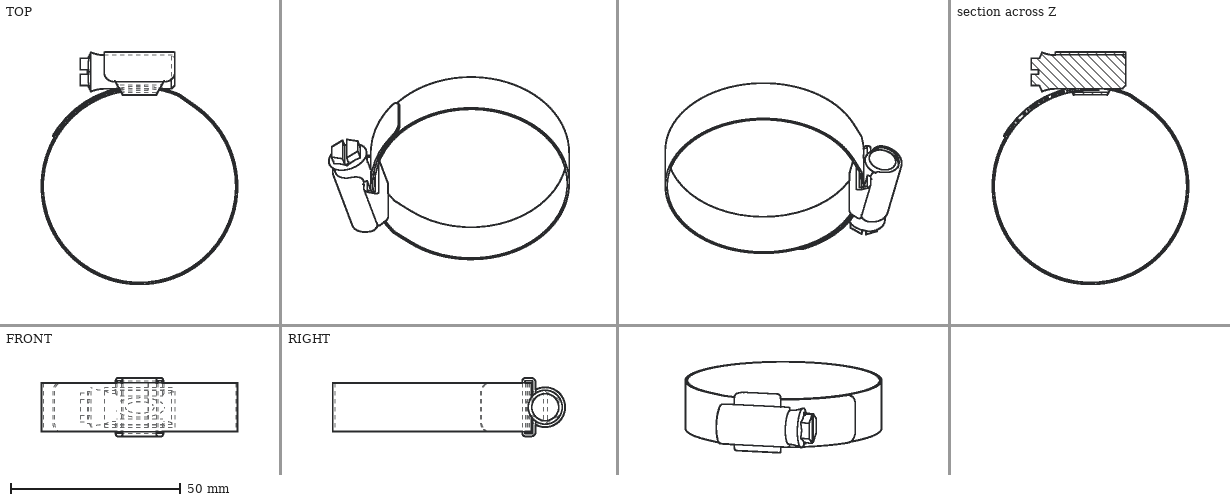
import cadquery as cq
import math


ring_diameter = 58.1
band_thickness = 0.6
band_width = 14.35
layer_gap = 0.035
head_end_angle = 85.0
step_angle = 55.0
tail_end_angle = 150.0
tail_corner_radius = 3.0

arch_radius = 5.9
sheet_thickness = 0.9
overall_depth = 68.7
arch_length = 20.95
arch_edge_radius = 0.4
loop_width = 17.3
loop_top = 30.9
loop_bottom = 26.95
loop_top_length = 14.3
loop_bottom_length = 9.9
loop_upper_radius = 1.3
loop_lower_radius = 1.0
loop_inner_radius = 0.15

collar_radius = 5.85
collar_rim_x = -14.35
collar_front_x = -15.2
collar_front_radius = 4.05
shank_chamfer = 1.0
hex_across_flats = 8.1
hex_front_x = -17.5
slot_width = 1.25
slot_depth = 2.1

ring_radius = ring_diameter / 2
overall_top = overall_depth - ring_radius
screw_axis_y = overall_top - arch_radius
shank_radius = arch_radius - sheet_thickness
arch_end_x = arch_length / 2


def polar(radius, angle):
    """Point in the XY plane at an angle in degrees from +X."""
    turn = math.radians(angle)
    return (radius * math.cos(turn), radius * math.sin(turn))


def x_cylinder(radius, start_x, end_x):
    """Cylinder on the screw axis."""
    return (
        cq.Workplane("YZ", origin=(start_x, screw_axis_y, 0))
        .circle(radius)
        .extrude(end_x - start_x)
    )


def loop_block(width, bottom, top):
    """Block as long as the arch, centred on the XY plane."""
    height = top - bottom
    return cq.Workplane("XY").box(arch_length, height, width).translate((0, bottom + height / 2, 0))


def make_housing():
    loop_outside = loop_block(loop_width, loop_bottom, loop_top)
    loop_outside = loop_outside.faces(">Y").edges("|X").fillet(loop_upper_radius)
    loop_outside = loop_outside.faces("<Y").edges("|X").fillet(loop_lower_radius)
    loop_inside = loop_block(
        loop_width - 2 * sheet_thickness, loop_bottom + sheet_thickness, loop_top - sheet_thickness
    )
    loop_inside = loop_inside.edges("|X").fillet(loop_inner_radius)
    body = x_cylinder(arch_radius, -arch_end_x, arch_end_x).union(loop_outside)

    corner_radius = screw_axis_y - loop_top
    corner_x = arch_end_x - corner_radius
    corner_offset = corner_radius * math.sqrt(0.5)
    half_top = loop_top_length / 2
    half_bottom = loop_bottom_length / 2
    outline = (
        cq.Workplane("XY")
        .moveTo(-arch_end_x, overall_top)
        .lineTo(arch_end_x, overall_top)
        .lineTo(arch_end_x, screw_axis_y)
        .threePointArc((corner_x + corner_offset, screw_axis_y - corner_offset), (corner_x, loop_top))
        .lineTo(half_top, loop_top)
        .lineTo(half_bottom, loop_bottom)
        .lineTo(-half_bottom, loop_bottom)
        .lineTo(-half_top, loop_top)
        .lineTo(-corner_x, loop_top)
        .threePointArc((-corner_x - corner_offset, screw_axis_y - corner_offset), (-arch_end_x, screw_axis_y))
        .close()
        .extrude(loop_width, both=True)
    )
    body = body.intersect(outline)

    arch_ends = cq.selectors.BoxSelector(
        (-arch_length, loop_top + arch_edge_radius, -loop_width), (arch_length, 2 * overall_top, loop_width)
    )
    body = body.edges(arch_ends).edges("not |X").fillet(arch_edge_radius)

    bore = x_cylinder(shank_radius, -arch_length, arch_length)
    return body.cut(bore).cut(loop_inside)


def make_screw():
    rise = collar_radius - shank_radius
    flare_length = -arch_end_x - collar_rim_x
    flare_radius = (flare_length ** 2 + rise ** 2) / (2 * rise)
    flare_half_angle = math.atan2(flare_length, flare_radius - rise) / 2
    flare_middle = (
        -arch_end_x - flare_radius * math.sin(flare_half_angle),
        shank_radius + flare_radius * (1 - math.cos(flare_half_angle)),
    )
    turned = (
        cq.Workplane("XZ", origin=(0, screw_axis_y, 0))
        .moveTo(collar_front_x, 0)
        .lineTo(collar_front_x, collar_front_radius)
        .lineTo(collar_rim_x, collar_radius)
        .threePointArc(flare_middle, (-arch_end_x, shank_radius))
        .lineTo(arch_end_x - shank_chamfer, shank_radius)
        .lineTo(arch_end_x, shank_radius - shank_chamfer)
        .lineTo(arch_end_x, 0)
        .close()
        .revolve(360, (0, 0, 0), (1, 0, 0))
    )

    hex_corner_diameter = hex_across_flats / math.cos(math.pi / 6)
    hexagon = (
        cq.Workplane("YZ", origin=(hex_front_x, screw_axis_y, 0))
        .transformed(rotate=(0, 0, 90))
        .polygon(6, hex_corner_diameter)
        .extrude(collar_rim_x - hex_front_x)
    )
    slot = cq.Workplane("XY").box(2 * slot_depth, slot_width, 2 * hex_across_flats)
    slot = slot.translate((hex_front_x, screw_axis_y, 0))
    return turned.union(hexagon.cut(slot))


def make_band():
    inner_radius = ring_radius - band_thickness
    tail_inner = ring_radius + layer_gap
    tail_outer = tail_inner + band_thickness

    inner_step_angle = step_angle + math.degrees(math.acos(inner_radius / tail_inner))
    outer_step_angle = step_angle + math.degrees(math.acos(ring_radius / tail_outer))
    ring_middle_angle = (head_end_angle + step_angle) / 2 + 180
    inner_middle_angle = (inner_step_angle + tail_end_angle) / 2
    outer_middle_angle = (outer_step_angle + tail_end_angle) / 2

    strip = (
        cq.Workplane("XY", origin=(0, 0, -band_width / 2))
        .moveTo(*polar(inner_radius, head_end_angle))
        .threePointArc(polar(inner_radius, ring_middle_angle), polar(inner_radius, step_angle))
        .lineTo(*polar(tail_inner, inner_step_angle))
        .threePointArc(polar(tail_inner, inner_middle_angle), polar(tail_inner, tail_end_angle))
        .lineTo(*polar(tail_outer, tail_end_angle))
        .threePointArc(polar(tail_outer, outer_middle_angle), polar(tail_outer, outer_step_angle))
        .lineTo(*polar(ring_radius, step_angle))
        .threePointArc(polar(ring_radius, ring_middle_angle), polar(ring_radius, head_end_angle))
        .close()
        .extrude(band_width)
    )

    tail_end = polar((tail_inner + tail_outer) / 2, tail_end_angle)
    for side in (-1, 1):
        corner = cq.selectors.NearestToPointSelector((*tail_end, side * band_width / 2))
        strip = strip.edges(corner).fillet(tail_corner_radius)

    return strip.cut(x_cylinder(shank_radius, -arch_end_x, arch_end_x))


housing = make_housing()
screw = make_screw()
band = make_band()

result = cq.Compound.makeCompound([body.solids().val() for body in (housing, screw, band)])